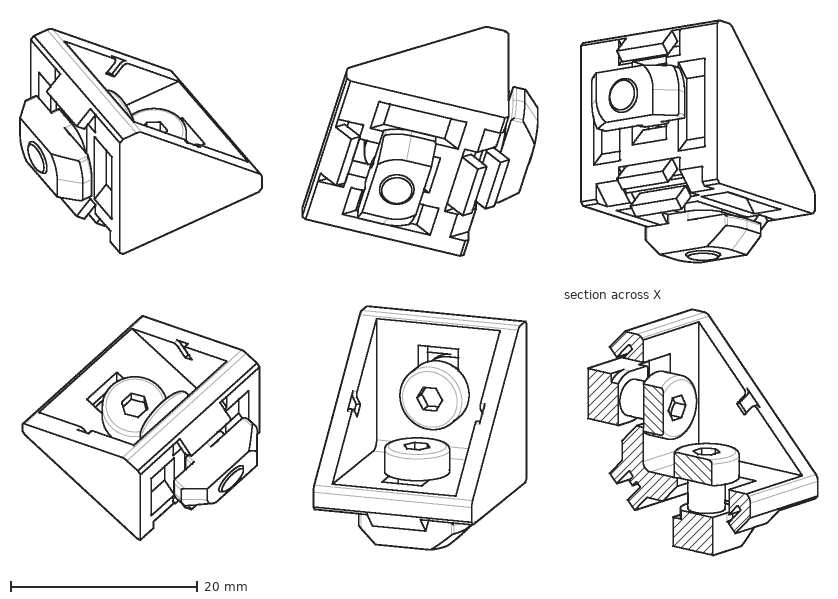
import cadquery as cq
import math


LEG = 18.0
WALL = 3.0
INNER_WIDTH = 14.03
DIAGONAL = 20.5
BODY_CHAMFER = 0.4
BODY_ROUND = 1.0

NOTCH_WIDTH = 1.5
NOTCH_DEPTH = 2.0
NOTCH_LIP_RADIUS = 0.5
NOTCH_RECESS = 0.48

WINDOW_INNER_X = 3.86
WINDOW_OUTER_X = 7.34
WINDOW_START = 4.2
WINDOW_END = 13.98
WINDOW_DEPTH = 1.5
SLOT_WIDTH = 4.53
SLOT_START = 5.73
SLOT_STRAIGHT_START = 7.77
SLOT_END = 14.97
CORNER_CUT = 2.1

CLIP_WIDTH = 6.05
CLIP_THICKNESS = 2.0
CLIP_RECESS_WIDTH = 8.07
CLIP_REACH = 3.5
LOWER_CLIP_ROOT = 3.52
UPPER_CLIP_ROOT = LEG - BODY_CHAMFER
LOWER_GROOVE_SPAN = 3.01
UPPER_GROOVE_SPAN = 2.83
CLIP_TRENCH = 2.42

SCREW_POSITION = 9.95
SCREW_DIAMETER = 4.0
SCREW_TIP_DIAMETER = 3.25
SCREW_REACH = 5.0
HEAD_DIAMETER = 7.0
HEAD_HEIGHT = 2.85
HEAD_ROUND = 0.4
SOCKET_FLATS = 2.5
SOCKET_DEPTH = 1.5
SOCKET_CONE_ANGLE = 120.0

NUT_WIDTH = 5.64
NUT_HALF_LENGTH = 5.75
NUT_FLAT_HALF_LENGTH = 3.75
NUT_START = 0.5
NUT_FLANGE_START = 1.5
NUT_BEVEL_START = 2.75
NUT_END = 4.75
NUT_ROUND = 0.3
FRONT_NUT_SHIFT = 0.15


def x_prism(points, x_min, x_max):
    """Prism along X over an outline of (y, z) points."""
    outline = cq.Workplane("YZ").polyline(points).close()
    return outline.extrude(x_max - x_min).translate((x_min, 0, 0))


def centred_prism(points, width):
    return x_prism(points, -width / 2, width / 2)


def diagonal_rectangle(sum_min, sum_max, difference_min, difference_max):
    """Corners (y, z) of a rectangle at 45 degrees, bounded by Y + Z and by Z - Y."""
    corners = [
        (sum_min, difference_min),
        (sum_max, difference_min),
        (sum_max, difference_max),
        (sum_min, difference_max),
    ]
    return [((s - d) / 2, (s + d) / 2) for s, d in corners]


def swapped(points):
    """The same outline on the other leg."""
    return [(z, y) for y, z in points]


def corner_triangle(leg):
    return [(0, 0), (leg, 0), (0, leg)]


def bracket_blank():
    short_end = DIAGONAL - LEG
    c = BODY_CHAMFER
    outline = [
        (c, 0),
        (LEG - c, 0),
        (LEG, c),
        (LEG, short_end),
        (short_end, LEG),
        (c, LEG),
        (0, LEG - c),
        (0, c),
    ]
    blank = centred_prism(outline, LEG)
    for y, z in [(LEG, short_end), (short_end, LEG)]:
        blank = blank.edges(cq.selectors.NearestToPointSelector((0, y, z))).fillet(BODY_ROUND)
    return blank


def inner_space():
    space = cq.Workplane("XY").box(INNER_WIDTH, LEG, LEG, centered=(True, False, False))
    space = space.translate((0, WALL, WALL))
    inner_corner = cq.selectors.NearestToPointSelector((0, WALL, WALL))
    return space.edges(inner_corner).fillet(BODY_ROUND)


def cheek_notches():
    """Slot square to the sloping edge, with a rounded lip on each side of its mouth."""
    width = INNER_WIDTH + 2 * NOTCH_RECESS
    half_span = NOTCH_WIDTH / 2 * math.sqrt(2)
    lip_span = NOTCH_LIP_RADIUS * math.sqrt(2)
    depth_span = NOTCH_DEPTH * math.sqrt(2)
    lip_sum = DIAGONAL - lip_span
    lip_difference = half_span + lip_span

    slot_outline = diagonal_rectangle(DIAGONAL - depth_span, DIAGONAL, -half_span, half_span)
    mouth_outline = diagonal_rectangle(lip_sum, DIAGONAL, -lip_difference, lip_difference)
    mouth = centred_prism(mouth_outline, width)
    for difference in (-lip_difference, lip_difference):
        lip_centre = ((lip_sum - difference) / 2, (lip_sum + difference) / 2)
        lip = cq.Workplane("YZ").center(*lip_centre).circle(NOTCH_LIP_RADIUS)
        mouth = mouth.cut(lip.extrude(width / 2, both=True))
    return centred_prism(slot_outline, width).union(mouth)


def face_recesses():
    """Outlines (y, z) and X ranges of the recesses in the Y = 0 face."""
    window = [
        (0, WINDOW_START),
        (WINDOW_DEPTH, WINDOW_START + WINDOW_DEPTH),
        (WINDOW_DEPTH, WINDOW_END - WINDOW_DEPTH),
        (0, WINDOW_END),
    ]
    slot = [
        (0, SLOT_START),
        (SLOT_STRAIGHT_START - SLOT_START, SLOT_STRAIGHT_START),
        (WALL, SLOT_STRAIGHT_START),
        (WALL, SLOT_END),
        (0, SLOT_END),
    ]
    recesses = [
        (window, WINDOW_INNER_X, WINDOW_OUTER_X),
        (window, -WINDOW_OUTER_X, -WINDOW_INNER_X),
        (slot, -SLOT_WIDTH / 2, SLOT_WIDTH / 2),
    ]
    for root, span in [(UPPER_CLIP_ROOT, UPPER_GROOVE_SPAN), (LOWER_CLIP_ROOT, LOWER_GROOVE_SPAN)]:
        groove = diagonal_rectangle(root - CLIP_REACH, root, root - span, root)
        recesses.append((groove, -CLIP_RECESS_WIDTH / 2, CLIP_RECESS_WIDTH / 2))
    return recesses


def make_bracket():
    bracket = bracket_blank().cut(inner_space()).cut(cheek_notches())
    bracket = bracket.cut(centred_prism(corner_triangle(CORNER_CUT), INNER_WIDTH))
    bracket = bracket.cut(centred_prism(corner_triangle(CLIP_TRENCH), CLIP_RECESS_WIDTH))
    for outline, x_min, x_max in face_recesses():
        for leg_outline in (outline, swapped(outline)):
            bracket = bracket.cut(x_prism(leg_outline, x_min, x_max))
    for root in (UPPER_CLIP_ROOT, LOWER_CLIP_ROOT):
        clip = diagonal_rectangle(root - CLIP_REACH, root, root - CLIP_THICKNESS, root)
        for leg_outline in (clip, swapped(clip)):
            bracket = bracket.union(centred_prism(leg_outline, CLIP_WIDTH))
    return bracket


def make_screw():
    tip_chamfer = (SCREW_DIAMETER - SCREW_TIP_DIAMETER) / 2
    shank = (
        cq.Workplane("XY", origin=(0, 0, -WALL))
        .circle(SCREW_DIAMETER / 2)
        .extrude(WALL + SCREW_REACH)
        .faces(">Z")
        .chamfer(tip_chamfer)
    )
    head = (
        cq.Workplane("XY", origin=(0, 0, -WALL))
        .circle(HEAD_DIAMETER / 2)
        .extrude(-HEAD_HEIGHT)
        .faces("<Z")
        .edges()
        .fillet(HEAD_ROUND)
    )
    return shank.union(head).cut(make_socket())


def make_socket():
    """Hexagonal socket with a conical floor."""
    head_top = -WALL - HEAD_HEIGHT
    corner_radius = SOCKET_FLATS / math.sqrt(3)
    cone_depth = corner_radius / math.tan(math.radians(SOCKET_CONE_ANGLE / 2))
    hexagon = (
        cq.Workplane("XY", origin=(0, 0, head_top))
        .polygon(6, 2 * corner_radius)
        .extrude(SOCKET_DEPTH + cone_depth)
    )
    floor_edge = head_top + SOCKET_DEPTH
    drill = (
        cq.Workplane("XZ")
        .moveTo(0, head_top)
        .lineTo(corner_radius, head_top)
        .lineTo(corner_radius, floor_edge)
        .lineTo(0, floor_edge + cone_depth)
        .close()
        .revolve(360, (0, 0), (0, 1))
    )
    return hexagon.intersect(drill)


def square_quarters(size_x, size_y, height):
    """Boxes from the axis over the two opposite quarters that have square corners."""
    box = cq.Workplane("XY").box(size_x, size_y, height, centered=False)
    return box.translate((-size_x, 0, 0)).union(box.translate((0, -size_y, 0)))


def flange_profile():
    """Half section of the nut's flange, from its axis outward."""
    end = NUT_HALF_LENGTH
    return (
        cq.Workplane("XZ")
        .moveTo(0, NUT_FLANGE_START)
        .lineTo(end - NUT_ROUND, NUT_FLANGE_START)
        .radiusArc((end, NUT_FLANGE_START + NUT_ROUND), -NUT_ROUND)
        .lineTo(end, NUT_BEVEL_START)
        .lineTo(NUT_FLAT_HALF_LENGTH, NUT_END)
        .lineTo(0, NUT_END)
        .close()
    )


def flange_outline_prism():
    """Flange outline: two opposite corners square, the other two swept by a circle."""
    swept = cq.Workplane("XY").circle(NUT_HALF_LENGTH).extrude(NUT_END)
    slab = cq.Workplane("XY").rect(2 * NUT_HALF_LENGTH, NUT_WIDTH).extrude(NUT_END)
    corners = square_quarters(NUT_HALF_LENGTH, NUT_WIDTH / 2, NUT_END)
    outline = swept.intersect(slab).union(corners)
    return outline.edges("|Z").edges(">Y or <Y").fillet(NUT_ROUND)


def make_flange():
    swept = flange_profile().revolve(360, (0, 0), (0, 1))
    straight = flange_profile().extrude(NUT_WIDTH / 2)
    body = swept.union(straight).union(straight.rotate((0, 0, 0), (0, 0, 1), 180))
    return body.intersect(flange_outline_prism())


def make_collar():
    height = NUT_FLANGE_START - NUT_START
    half = NUT_WIDTH / 2
    corners = square_quarters(half, half, height)
    square = cq.Workplane("XY").rect(NUT_WIDTH, NUT_WIDTH).extrude(height)
    rounded_square = square.edges("|Z").fillet(NUT_ROUND)
    collar = cq.Workplane("XY").circle(half).extrude(height).union(corners.intersect(rounded_square))
    return collar.translate((0, 0, NUT_START))


def make_nut(shift):
    """Nut with a bore that fits the screw; shift moves the nut off the screw axis."""
    return make_collar().union(make_flange()).translate((shift, shift, 0)).cut(make_screw())


def placed(body, plane):
    return body.solids().val().moved(cq.Location(plane))


front_plane = cq.Plane(origin=(0, 0, SCREW_POSITION), xDir=(1, 0, 0), normal=(0, -1, 0))
bottom_plane = cq.Plane(origin=(0, SCREW_POSITION, 0), xDir=(1, 0, 0), normal=(0, 0, -1))

bracket = make_bracket()
fasteners = []
for plane, nut_shift in [(front_plane, FRONT_NUT_SHIFT), (bottom_plane, 0)]:
    fasteners.append(placed(make_screw(), plane))
    fasteners.append(placed(make_nut(nut_shift), plane))

result = cq.Compound.makeCompound([bracket.solids().val(), *fasteners])